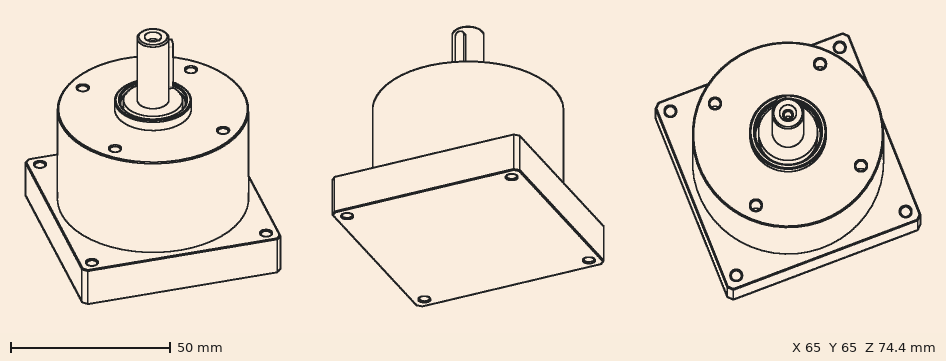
import cadquery as cq
import math

flange_side = 65.0
flange_height = 13.0
flange_corner_chamfer = 1.5
flange_edge_chamfer = 0.3
flange_hole_diameter = 3.2
flange_hole_spacing = 57.0

body_diameter = 60.0
body_top = 47.0
body_edge_chamfer = 0.4
boss_diameter = 24.0
boss_top = 50.5
boss_edge_chamfer = 0.4
bore_diameter = 20.4
bore_mouth_diameter = 21.6
bore_depth = 5.95
counterbore_diameter = 21.0
counterbore_depth = 1.6

mount_hole_diameter = 3.3
mount_circle_diameter = 50.0
mount_hole_depth = 10.0
mount_hole_count = 4
mount_start_angle = 45.0
hole_mouth_chamfer = 0.4
drill_point_angle = 118.0

shaft_top = 74.4
shaft_diameter = 10.0
shaft_edge_chamfer = 0.5
collar_diameter = 18.5
collar_top = boss_top
bore_floor = boss_top - bore_depth

center_mouth_diameter = 5.3
center_relief_diameter = 3.2
center_thread_diameter = 2.45
center_relief_depth = 2.6
center_hole_depth = 8.9
center_cone_angle = 60.0

key_width = 3.0
key_length = 18.0
key_top_offset = 2.4
key_outer_y = 6.2
key_inner_y = 2.5


def cone_height(diameter, included_angle):
    """Height of a full cone with the given base diameter."""
    return diameter / 2 / math.tan(math.radians(included_angle / 2))


def cylinder(diameter, bottom, top):
    return cq.Workplane("XY").workplane(offset=bottom).circle(diameter / 2).extrude(top - bottom)


def blind_hole(diameter, depth, mouth_chamfer):
    """Revolved cutter with its mouth on Z = 0, a chamfered rim and a drill point."""
    radius = diameter / 2
    return (
        cq.Workplane("XZ")
        .lineTo(radius + mouth_chamfer, 0)
        .lineTo(radius, -mouth_chamfer)
        .lineTo(radius, -depth)
        .lineTo(0, -depth - cone_height(diameter, drill_point_angle))
        .close()
        .revolve(360, (0, 0), (0, 1))
    )


def make_flange():
    flange = (
        cq.Workplane("XY")
        .rect(flange_side, flange_side)
        .extrude(flange_height)
        .edges("|Z")
        .chamfer(flange_corner_chamfer)
        .faces("<Z or >Z")
        .chamfer(flange_edge_chamfer)
    )
    return (
        flange.faces(">Z")
        .workplane(origin=(0, 0, flange_height))
        .rect(flange_hole_spacing, flange_hole_spacing, forConstruction=True)
        .vertices()
        .hole(flange_hole_diameter)
        .faces("<Z or >Z")
        .edges("%CIRCLE")
        .chamfer(hole_mouth_chamfer)
    )


def make_bore():
    """Blind bore around the collar, widened by a counterbore with a chamfered mouth."""
    bore = cylinder(bore_diameter, bore_floor, boss_top)
    mouth_depth = (bore_mouth_diameter - counterbore_diameter) / 2
    mouth = (
        cq.Workplane("XZ", origin=(0, 0, boss_top))
        .lineTo(bore_mouth_diameter / 2, 0)
        .lineTo(counterbore_diameter / 2, -mouth_depth)
        .lineTo(0, -mouth_depth)
        .close()
        .revolve(360, (0, 0), (0, 1))
    )
    counterbore = cylinder(counterbore_diameter, boss_top - counterbore_depth, boss_top)
    return bore.union(mouth).union(counterbore)


def make_housing():
    body = cylinder(body_diameter, 0, body_top).faces(">Z").chamfer(body_edge_chamfer)
    boss = cylinder(boss_diameter, 0, boss_top).faces(">Z").chamfer(boss_edge_chamfer)

    housing = make_flange().union(body).union(boss).cut(make_bore())

    for index in range(mount_hole_count):
        angle = math.radians(mount_start_angle + 360 / mount_hole_count * index)
        x = mount_circle_diameter / 2 * math.cos(angle)
        y = mount_circle_diameter / 2 * math.sin(angle)
        cutter = blind_hole(mount_hole_diameter, mount_hole_depth, hole_mouth_chamfer)
        housing = housing.cut(cutter.translate((x, y, body_top)))
    return housing


def make_key():
    """Key lying along the +Y side of the shaft, sunk into it."""
    key_center_z = shaft_top - key_top_offset - key_length / 2
    return (
        cq.Workplane("XZ", origin=(0, key_outer_y, key_center_z))
        .slot2D(key_length, key_width, 90)
        .extrude(key_outer_y - key_inner_y)
    )


def make_center_hole():
    """Countersunk centre hole: cone, relief and threaded length with a drill point."""
    mouth = center_mouth_diameter / 2
    relief = center_relief_diameter / 2
    thread = center_thread_diameter / 2
    cone_slope = math.tan(math.radians(center_cone_angle / 2))
    cone_depth = (mouth - relief) / cone_slope
    return (
        cq.Workplane("XZ", origin=(0, 0, shaft_top))
        .lineTo(mouth, 0)
        .lineTo(relief, -cone_depth)
        .lineTo(relief, -center_relief_depth)
        .lineTo(thread, -center_relief_depth)
        .lineTo(thread, -center_hole_depth)
        .lineTo(0, -center_hole_depth - cone_height(center_thread_diameter, drill_point_angle))
        .close()
        .revolve(360, (0, 0), (0, 1))
    )


def make_shaft():
    collar = cylinder(collar_diameter, bore_floor, collar_top)
    shaft = cylinder(shaft_diameter, bore_floor, shaft_top).faces(">Z").chamfer(shaft_edge_chamfer)
    return collar.union(shaft).union(make_key()).cut(make_center_hole())


housing = make_housing()
shaft = make_shaft()
result = cq.Compound.makeCompound([housing.val(), shaft.val()])